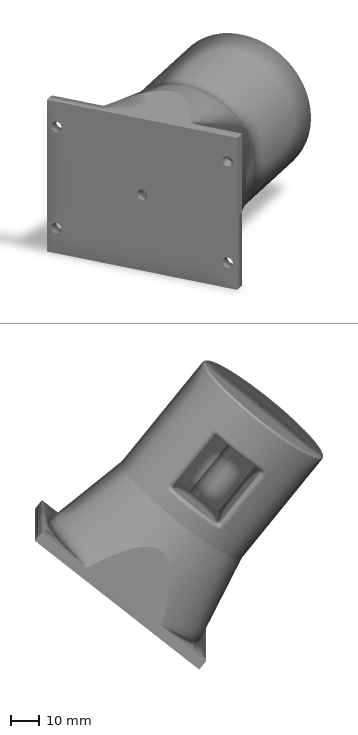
import cadquery as cq

plate_width = 75.0
plate_height = 60.0
plate_thickness = 4.0

total_length = 84.0
barrel_radius = 27.5
barrel_start = 37.0
flare_base_radius = 34.5
rear_edge_fillet = 1.0

hole_diameter = 4.0
hole_pitch_x = 67.5
hole_pitch_z = 40.0

pocket_length = 25.0
pocket_width = 21.0
pocket_center_y = 57.0
pocket_corner_radius = 1.0
pocket_rim_fillet = 1.5
pocket_rim_top_z = -20.0


def make_plate():
    """Rectangular plate with its outer face on Y = 0."""
    return cq.Workplane("XY").box(
        plate_width, plate_thickness, plate_height, centered=(True, False, True)
    )


def make_barrel():
    """Cylinder with a rounded rear edge and a pocket with a rounded rim."""
    barrel = (
        cq.Workplane("XZ", origin=(0, barrel_start, 0))
        .circle(barrel_radius)
        .extrude(-(total_length - barrel_start))
        .faces(">Y")
        .edges()
        .fillet(rear_edge_fillet)
    )
    pocket = (
        cq.Workplane("XY", origin=(0, pocket_center_y, 0))
        .rect(pocket_width, pocket_length)
        .extrude(-2 * barrel_radius)
        .edges("|Z")
        .fillet(pocket_corner_radius)
    )
    return round_pocket_rim(barrel.cut(pocket))


def round_pocket_rim(barrel):
    """Fillet every edge where the pocket walls meet the barrel surface."""
    wall_margin = 0.1
    half_width = pocket_width / 2 + wall_margin
    half_length = pocket_length / 2 + wall_margin
    rim_box = cq.selectors.BoxSelector(
        (-half_width, pocket_center_y - half_length, -barrel_radius - wall_margin),
        (half_width, pocket_center_y + half_length, pocket_rim_top_z),
        boundingbox=True,
    )
    return barrel.edges(rim_box).fillet(pocket_rim_fillet)


def make_flare():
    """Cone from the plate to the barrel, trimmed flush with the plate's top and bottom."""
    cone = (
        cq.Workplane("YZ")
        .moveTo(plate_thickness, 0)
        .lineTo(plate_thickness, flare_base_radius)
        .lineTo(barrel_start, barrel_radius)
        .lineTo(barrel_start, 0)
        .close()
        .revolve(360, (0, 0, 0), (1, 0, 0))
    )
    trim = cq.Workplane("XY").box(
        plate_width, barrel_start, plate_height, centered=(True, False, True)
    )
    return cone.intersect(trim)


def cut_holes(body):
    """Four corner holes in the plate and a central hole along the whole part."""
    face = cq.Workplane("XZ")
    corner_holes = (
        face.rect(hole_pitch_x, hole_pitch_z, forConstruction=True)
        .vertices()
        .circle(hole_diameter / 2)
        .extrude(-plate_thickness)
    )
    center_hole = face.circle(hole_diameter / 2).extrude(-total_length)
    return body.cut(corner_holes).cut(center_hole)


body = make_plate().union(make_flare()).union(make_barrel())
result = cut_holes(body)